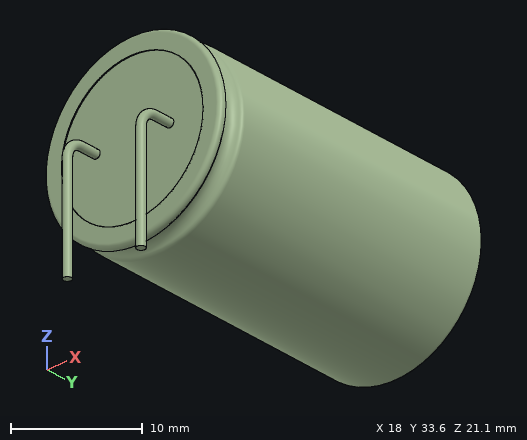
import cadquery as cq
import math


can_diameter = 18.0
can_length = 30.0
edge_radius = 0.4

lip_rim_width = 0.05
groove_width = 2.4
groove_depth = 0.75
groove_center = edge_radius + lip_rim_width + groove_width / 2

recess_diameter = 0.8 * can_diameter
recess_depth = 0.1

lead_diameter = 0.8
lead_spacing = 7.5
overall_length = 33.6
lead_overall_reach = overall_length - can_length
lead_bend_radius = 2 * lead_diameter
lead_drop = 12.1

can_radius = can_diameter / 2
recess_radius = recess_diameter / 2


def make_can():
    """Revolve half of the can's lengthwise section about the Y axis."""
    half_width = groove_width / 2
    turn = 2 * math.atan(groove_depth / half_width)
    shoulder_width = half_width / 3
    shoulder_radius = shoulder_width / math.sin(turn)
    shoulder_drop = groove_depth / 3
    shoulder_mid_width = shoulder_radius * math.sin(turn / 2)
    shoulder_mid_drop = shoulder_radius * (1 - math.cos(turn / 2))

    near_edge = groove_center - half_width
    far_edge = groove_center + half_width
    edge_inset = edge_radius * (1 - math.sqrt(0.5))

    return (
        cq.Workplane("XY")
        .moveTo(0, recess_depth)
        .lineTo(recess_radius, recess_depth)
        .lineTo(recess_radius, 0)
        .lineTo(can_radius - edge_radius, 0)
        .threePointArc((can_radius - edge_inset, edge_inset), (can_radius, edge_radius))
        .lineTo(can_radius, near_edge)
        .threePointArc(
            (can_radius - shoulder_mid_drop, near_edge + shoulder_mid_width),
            (can_radius - shoulder_drop, near_edge + shoulder_width),
        )
        .threePointArc(
            (can_radius - groove_depth, groove_center),
            (can_radius - shoulder_drop, far_edge - shoulder_width),
        )
        .threePointArc(
            (can_radius - shoulder_mid_drop, far_edge - shoulder_mid_width),
            (can_radius, far_edge),
        )
        .lineTo(can_radius, can_length - edge_radius)
        .threePointArc(
            (can_radius - edge_inset, can_length - edge_inset),
            (can_radius - edge_radius, can_length),
        )
        .lineTo(0, can_length)
        .close()
        .revolve(360, (0, 0, 0), (0, 1, 0))
    )


def make_lead(x):
    """Sweep one round lead out of the sealed end, around its bend and down."""
    leg_y = lead_diameter / 2 - lead_overall_reach
    bend_start_y = leg_y + lead_bend_radius
    path = (
        cq.Workplane("YZ", origin=(x, 0, 0))
        .moveTo(recess_depth, 0)
        .lineTo(bend_start_y, 0)
        .tangentArcPoint((leg_y, -lead_bend_radius), relative=False)
        .lineTo(leg_y, -lead_drop)
    )
    return cq.Workplane("XZ", origin=(x, recess_depth, 0)).circle(lead_diameter / 2).sweep(path)


result = make_can()
for side in (-1, 1):
    result = result.union(make_lead(side * lead_spacing / 2))